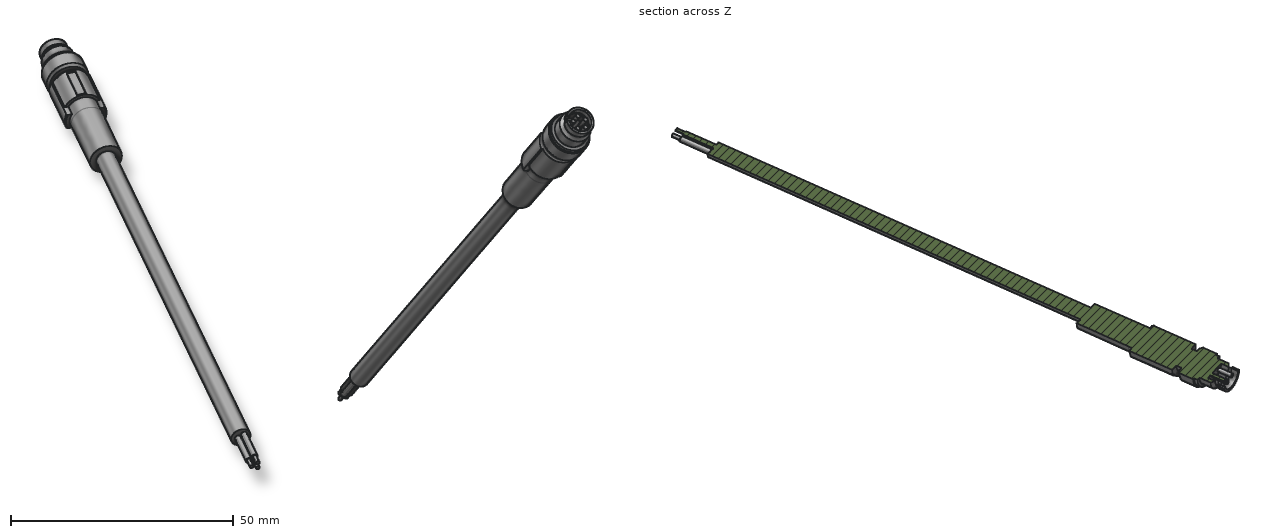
import cadquery as cq
import math

total_length = 148.7

nose_radius = 6.5 / 2
nose_end = 1.8
nose_groove_radius = 5.7 / 2
nose_groove_end = 2.5
shoulder_radius = 7.6 / 2
shoulder_start = 3.1
flange_radius = 9.2 / 2
flange_start = 6.1

ring_radius = 10.0 / 2
ring_start = 7.0
ring_end = 11.3
ring_chamfer = 0.6
neck_radius = 6.5 / 2

grip_radius = 9.2 / 2
grip_start = 12.6
grip_end = 21.5
boot_front_radius = 7.7 / 2
boot_taper_start = 25.1
boot_rear_radius = 7.6 / 2
boot_end = 39.0
cable_radius = 4.6 / 2
cable_end = 138.5

wing_end = 24.2
wing_height = 4.0
wing_chamfer = 0.3
recess_margin = 0.5
recess_width = 2.1
recess_floor = 4.2

socket_radius = 5.4 / 2
socket_depth = 4.5
pin_count = 5
pin_radius = 0.5
pin_circle_radius = 1.6
pin_circle_offset = -0.3
pin_setback = 0.9
keyway_width = 1.2

wire_diameter = 1.41
wire_offset = 0.71
wire_positions = [(wire_offset, wire_offset), (wire_offset, -wire_offset), (-wire_offset, 0)]
wire_end = 146.5
strand_diameter = 0.9
root_overlap = 0.7


def rod(start, end, radius, y=0.0, z=0.0):
    """Round rod along X, with its axis at (y, z)."""
    return cq.Workplane("YZ", origin=(start, 0, 0)).center(y, z).circle(radius).extrude(end - start)


def pin_positions():
    """(y, z) of the contact pins, evenly spaced on their circle from the +Y side."""
    angles = [2 * math.pi * i / pin_count for i in range(pin_count)]
    return [
        (pin_circle_offset + pin_circle_radius * math.cos(a), pin_circle_radius * math.sin(a))
        for a in angles
    ]


def make_body():
    """Turned shape of plug, boot and cable."""
    profile = [
        (0, 0),
        (0, nose_radius),
        (nose_end, nose_radius),
        (nose_end, nose_groove_radius),
        (nose_groove_end, nose_groove_radius),
        (shoulder_start, shoulder_radius),
        (flange_start, shoulder_radius),
        (flange_start, flange_radius),
        (ring_start, flange_radius),
        (ring_start, ring_radius),
        (ring_end - ring_chamfer, ring_radius),
        (ring_end, ring_radius - ring_chamfer),
        (ring_end, neck_radius),
        (grip_start, neck_radius),
        (grip_start, grip_radius),
        (grip_end, grip_radius),
        (grip_end, boot_front_radius),
        (boot_taper_start, boot_front_radius),
        (boot_end, boot_rear_radius),
        (boot_end, cable_radius),
        (cable_end, cable_radius),
        (cable_end, 0),
    ]
    return cq.Workplane("XY").polyline(profile).close().revolve(360, (0, 0, 0), (1, 0, 0))


def make_wings():
    """Wings on the +Y and -Y sides of the grip, rounded to the ring radius."""
    wing_length = wing_end - grip_start
    slab = cq.Workplane("XY").box(wing_length, 2 * ring_radius, wing_height)
    slab = slab.translate((grip_start + wing_length / 2, 0, 0))
    return rod(grip_start, wing_end, ring_radius).faces(">X").chamfer(wing_chamfer).intersect(slab)


def make_recess():
    """Cutter for the shallow flat on top of the grip."""
    length = grip_end - grip_start - 2 * recess_margin
    cutter = cq.Workplane("XY", origin=((grip_start + grip_end) / 2, 0, recess_floor))
    return cutter.rect(length, recess_width).extrude(ring_radius - recess_floor)


def make_keyway():
    """Cutter for the slot through the +Y wall of the nose."""
    cutter = cq.Workplane("XY", origin=(nose_end / 2, nose_radius / 2, 0))
    return cutter.box(nose_end, nose_radius, keyway_width)


body = make_body().union(make_wings()).cut(make_recess())
body = body.cut(rod(0, socket_depth, socket_radius)).cut(make_keyway())

for y, z in pin_positions():
    body = body.union(rod(pin_setback, socket_depth + root_overlap, pin_radius, y, z))

for y, z in wire_positions:
    body = body.union(rod(cable_end - root_overlap, wire_end, wire_diameter / 2, y, z))
    body = body.union(rod(wire_end - root_overlap, total_length, strand_diameter / 2, y, z))

result = body